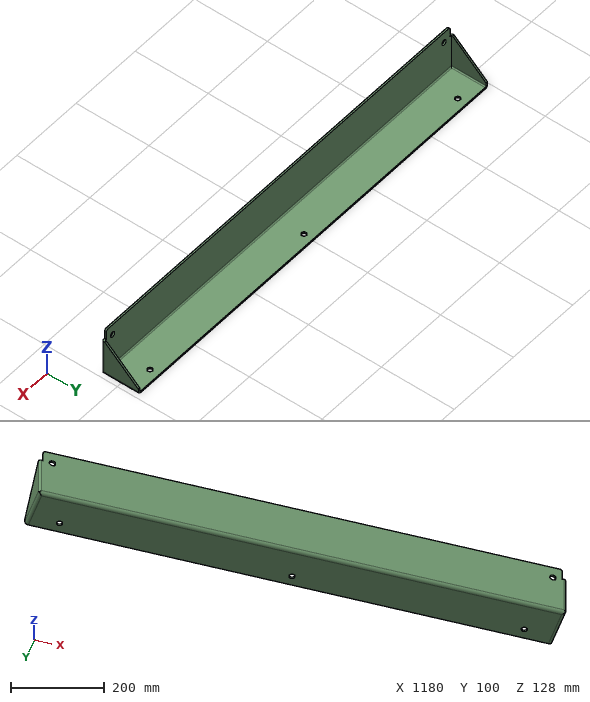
import cadquery as cq

length = 1180.0
depth = 100.0
height = 128.0

sheet = 5.0
bend_radius = 8.0
inner_bend_radius = bend_radius - sheet
corner_radius = 5.0

gusset_height = 100.0
gusset_tip_height = 16.0
gusset_slope_start = bend_radius

flange_end_setback = 9.0
flange_length = length - 2 * flange_end_setback
flange_corner_radius = 6.0
flange_hole_diameter = 14.0
flange_hole_spacing = 1120.0
flange_hole_height = 98.0

base_hole_diameter = 13.0
base_hole_spacing = 520.0
base_hole_y = 75.0


def rounded_block(inset, radius):
    """Block set in from the front, ends and bottom, with the lower edges rounded and mitred."""
    rise = height - inset
    run = depth - inset
    span = length - 2 * inset
    across = (
        cq.Workplane("XY")
        .box(span, run, rise, centered=(True, False, False))
        .edges("|Y and <Z")
        .fillet(radius)
    )
    along = (
        cq.Workplane("XY")
        .box(span, run, rise, centered=(True, False, False))
        .edges("|X and <Z and <Y")
        .fillet(radius)
    )
    return across.intersect(along).translate((0, inset, inset))


def upright_corners():
    """Full-height prism of the plan outline, with its two front corners rounded."""
    return (
        cq.Workplane("XY")
        .box(length, depth, height, centered=(True, False, False))
        .edges("|Z and <Y")
        .fillet(corner_radius)
    )


def above_gussets():
    """Space above the sloped upper edge of the gussets, over the full length."""
    return (
        cq.Workplane("YZ", origin=(-length / 2, 0, 0))
        .polyline([
            (0, gusset_height),
            (gusset_slope_start, gusset_height),
            (depth, gusset_tip_height),
            (depth, height),
            (0, height),
        ])
        .close()
        .extrude(length)
    )


def folded_tray():
    """Base, front wall and two gussets joined by bends, open at the back."""
    outside = rounded_block(0, bend_radius).intersect(upright_corners())
    inside = rounded_block(sheet, inner_bend_radius)
    return outside.cut(inside).cut(above_gussets())


def upper_flange():
    """Front wall above the gussets, shorter than the base and rounded at its top corners."""
    return (
        cq.Workplane("XY", origin=(0, 0, gusset_height))
        .box(flange_length, sheet, height - gusset_height, centered=(True, False, False))
        .edges("|Y and >Z")
        .fillet(flange_corner_radius)
    )


def base_holes():
    centres = [(side * base_hole_spacing, base_hole_y) for side in (-1, 0, 1)]
    return cq.Workplane("XY").pushPoints(centres).circle(base_hole_diameter / 2).extrude(sheet)


def flange_holes():
    centres = [(side * flange_hole_spacing / 2, flange_hole_height) for side in (-1, 1)]
    return cq.Workplane("XZ").pushPoints(centres).circle(flange_hole_diameter / 2).extrude(-sheet)


result = folded_tray().union(upper_flange()).cut(base_holes()).cut(flange_holes())